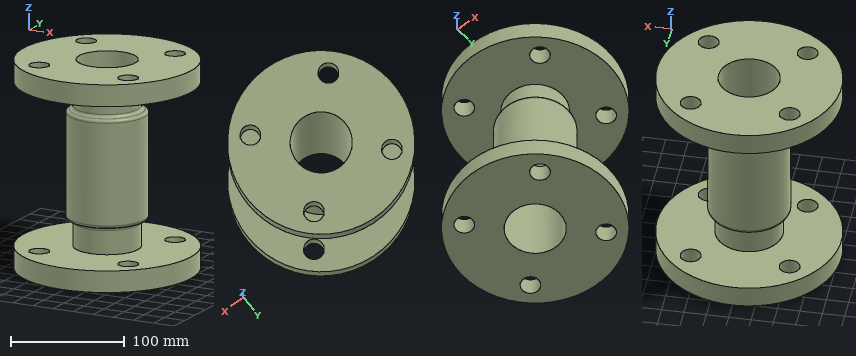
import cadquery as cq

total_height = 190.0
bore_diameter = 54.5

flange_diameter = 165.0
flange_thickness = 20.0
bolt_circle_diameter = 125.0
bolt_hole_diameter = 18.0
bolt_count = 4
first_bolt_angle = 45.0

neck_diameter = 60.5
body_diameter = 73.3
body_length = 100.0
blend_radius = 3.0


def cylinder(diameter, bottom, height):
    """Upright cylinder on the Z axis, starting at the given level."""
    return cq.Workplane("XY").workplane(offset=bottom).circle(diameter / 2).extrude(height)


def centre_pipe():
    """Neck and body, with rounded shoulders where they meet."""
    neck = cylinder(neck_diameter, -total_height / 2, total_height)
    body = cylinder(body_diameter, -body_length / 2, body_length)
    shoulder_circles = "%CIRCLE and (not (<Z or >Z))"
    return neck.union(body).edges(shoulder_circles).fillet(blend_radius)


def bolt_holes():
    """Cutters for the bolt holes, running through both flanges."""
    return (
        cq.Workplane("XY")
        .workplane(offset=-total_height / 2)
        .polarArray(bolt_circle_diameter / 2, first_bolt_angle, 360, bolt_count)
        .circle(bolt_hole_diameter / 2)
        .extrude(total_height)
    )


bottom_flange = cylinder(flange_diameter, -total_height / 2, flange_thickness)
top_flange = cylinder(flange_diameter, total_height / 2 - flange_thickness, flange_thickness)
bore = cylinder(bore_diameter, -total_height / 2, total_height)

result = centre_pipe().union(bottom_flange).union(top_flange).cut(bolt_holes()).cut(bore)